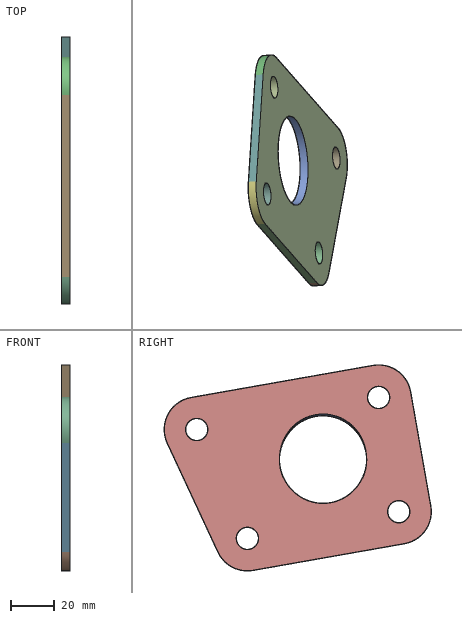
import cadquery as cq
import math

thickness = 4.0
corner_radius = 15.0
bolt_hole_diameter = 10.1

pattern_angle = math.radians(10)
top_side = 85.1
bottom_side = 70.8
short_side = 53.5
first_hole = (37.3, 32.5)

bore_diameter = 40.2
bore_tilt = math.radians(12.5)
bore_center = (11.7, 3.5)
bore_overrun = 12.3


def along_pattern(start, toward_minus_y, down):
    """Move from a YZ point along the two directions of the turned bolt pattern."""
    cosine = math.cos(pattern_angle)
    sine = math.sin(pattern_angle)
    return (
        start[0] - toward_minus_y * cosine + down * sine,
        start[1] - toward_minus_y * sine - down * cosine,
    )


bolt_holes = [
    first_hole,
    along_pattern(first_hole, top_side, 0),
    along_pattern(first_hole, bottom_side, short_side),
    along_pattern(first_hole, 0, short_side),
]


def make_plate():
    """Offset the bolt pattern outward so every corner is concentric with its hole."""
    back_face = cq.Workplane("YZ", origin=(-thickness / 2, 0, 0))
    return back_face.polyline(bolt_holes).close().offset2D(corner_radius, "arc").extrude(thickness)


def make_bolt_cutters():
    back_face = cq.Workplane("YZ", origin=(-thickness / 2, 0, 0))
    return back_face.pushPoints(bolt_holes).circle(bolt_hole_diameter / 2).extrude(thickness)


def make_bore_cutter():
    axis = cq.Vector(math.cos(bore_tilt), 0, math.sin(bore_tilt))
    face_point = cq.Vector(-thickness / 2, *bore_center)
    start = face_point - axis * bore_overrun
    length = thickness + 2 * bore_overrun
    return cq.Solid.makeCylinder(bore_diameter / 2, length, start, axis)


result = make_plate().cut(make_bolt_cutters()).cut(cq.Workplane(make_bore_cutter()))